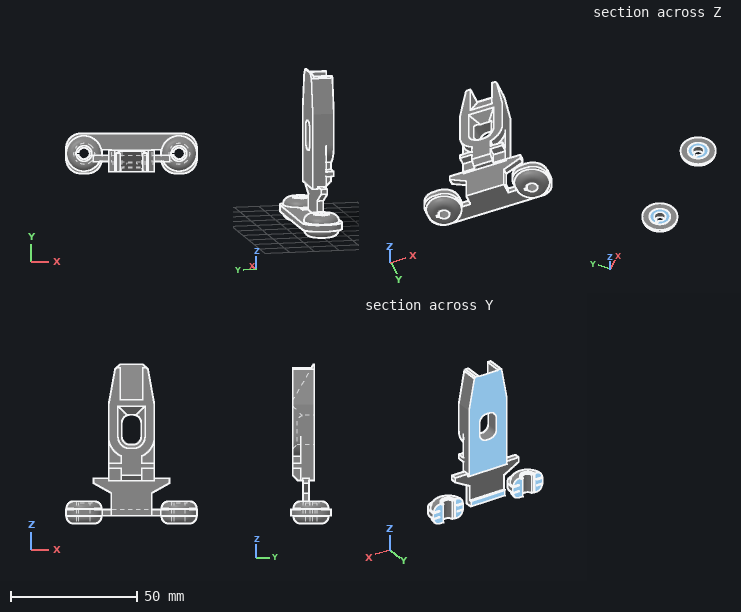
import cadquery as cq
import math

grommet_spacing = 37.65
grommet_height = 9.0
grommet_radius = 7.0
grommet_groove_width = 3.0
grommet_core_radius = 4.2
grommet_bore_radius = 2.2
grommet_recess_radius = 3.1
grommet_recess_depth = 0.65
grommet_keyway_width = 0.8

base_bottom = 3.1
base_top = 5.7
tab_width = 14.35
tab_depth = 16.0
tab_corner_radius = 6.0
bar_front = 1.45

upright_front = -3.2
upright_back = -0.7
upright_half_width = 8.1
upright_flare_bottom = 12.15
upright_arm_bottom = 16.05
upright_arm_half_width = 15.1
upright_top = 18.1

body_front = -7.25
body_back = 1.3
body_bottom = 17.1
body_top = 63.2
body_half_width = 9.1
taper_start = 47.3
shoulder_height = 61.25
shoulder_half_width = 6.6
tip_half_width = 4.55

cheek_top = 61.8
channel_bottom = 49.2
tip_lip = 0.4

flare_angle = 45
opening_half_width = 3.8
opening_bottom = 31.4
opening_top = 43.1
opening_corner_radius = 3.1
flare = 1.6
flare_top = 46.65

pocket_depth = 3.2
neck_half_width = 4.0
fin_bottom = 22.0
fin_top = 23.9
toe_chamfer = 2.0

arc_mid_factor = math.sqrt(0.5)
grommet_x = grommet_spacing / 2
corner_center_x = opening_half_width - opening_corner_radius
corner_center_z = opening_bottom + opening_corner_radius
end_x = grommet_x + tab_width / 2


def block(x_min, x_max, y_min, y_max, z_min, z_max):
    """Box between two opposite corners."""
    size = (x_max - x_min, y_max - y_min, z_max - z_min)
    return cq.Workplane("XY").box(*size, centered=False).translate((x_min, y_min, z_min))


def mirrored_outline(right_side):
    """Closed outline from its right-hand points, listed bottom to top."""
    left_side = [(-x, z) for x, z in reversed(right_side)]
    return right_side + left_side


def front_prism(outline, y_min, y_max):
    """Extrude an XZ outline between two Y positions."""
    plane = cq.Workplane("XZ", origin=(0, y_max, 0))
    return plane.polyline(outline).close().extrude(y_max - y_min)


def make_base():
    """Rounded tabs, the bar joining them and the web reaching forward to the upright."""
    thickness = base_top - base_bottom
    plane = cq.Workplane("XY").workplane(offset=base_bottom)
    tabs = (
        plane.pushPoints([(-grommet_x, 0), (grommet_x, 0)])
        .rect(tab_width, tab_depth)
        .extrude(thickness)
        .edges("|Z")
        .fillet(tab_corner_radius)
    )
    bar = (
        block(-end_x, end_x, bar_front, tab_depth / 2, base_bottom, base_top)
        .edges("|Z and >Y")
        .fillet(tab_corner_radius)
    )
    web = block(
        -upright_half_width, upright_half_width, upright_front, bar_front, base_bottom, base_top
    )
    return tabs.union(bar).union(web)


def make_grommet(x):
    """Two rounded discs on a narrower core, leaving a groove around the base."""
    bulb_height = (grommet_height - grommet_groove_width) / 2
    flat_radius = grommet_radius - bulb_height
    groove_top = grommet_height - bulb_height
    arc_mid_radius = flat_radius + bulb_height * arc_mid_factor
    arc_mid_drop = bulb_height * (1 - arc_mid_factor)
    grommet = (
        cq.Workplane("XZ")
        .lineTo(flat_radius, 0)
        .threePointArc((arc_mid_radius, arc_mid_drop), (grommet_radius, bulb_height))
        .lineTo(grommet_core_radius, bulb_height)
        .lineTo(grommet_core_radius, groove_top)
        .lineTo(grommet_radius, groove_top)
        .threePointArc((arc_mid_radius, grommet_height - arc_mid_drop), (flat_radius, grommet_height))
        .lineTo(0, grommet_height)
        .close()
        .revolve(360, (0, 0), (0, 1))
    )
    return grommet.translate((x, 0, 0))


def make_grommet_hole(x):
    """Through bore with a shallow recess at the top and a keyway on the -X side."""
    bore = cq.Workplane("XY").circle(grommet_bore_radius).extrude(grommet_height)
    recess_floor = grommet_height - grommet_recess_depth
    recess = (
        cq.Workplane("XY")
        .workplane(offset=recess_floor)
        .circle(grommet_recess_radius)
        .extrude(grommet_recess_depth)
    )
    half_key = grommet_keyway_width / 2
    keyway = block(-grommet_recess_radius, 0, -half_key, half_key, 0, grommet_height)
    return bore.union(recess).union(keyway).translate((x, 0, 0))


def make_upright():
    """Flat plate that flares out into two short arms at its top."""
    right_side = [
        (upright_half_width, base_bottom),
        (upright_half_width, upright_flare_bottom),
        (upright_arm_half_width, upright_arm_bottom),
        (upright_arm_half_width, upright_top),
    ]
    return front_prism(mirrored_outline(right_side), upright_front, upright_back)


def make_body_blank():
    """Tapered body with its front toe chamfered."""
    right_side = [
        (body_half_width, body_bottom),
        (body_half_width, taper_start),
        (shoulder_half_width, shoulder_height),
        (tip_half_width, body_top),
    ]
    blank = front_prism(mirrored_outline(right_side), body_front, body_back)
    return blank.faces("<Z").edges("<Y").chamfer(toe_chamfer)


def make_tip_channel():
    """Wedge in front of the ramp: between the cheeks below their top, full width above it."""
    ramp = (
        cq.Workplane("YZ")
        .polyline([(body_front, channel_bottom), (body_back - tip_lip, body_top), (body_front, body_top)])
        .close()
        .extrude(body_half_width, both=True)
    )
    channel = block(-tip_half_width, tip_half_width, body_front, body_back, channel_bottom, body_top)
    above_cheeks = block(-body_half_width, body_half_width, body_front, body_back, cheek_top, body_top)
    return ramp.intersect(channel.union(above_cheeks))


def make_opening():
    """Rounded through opening joined to its flare, which narrows towards the back."""
    through = (
        block(-opening_half_width, opening_half_width, body_front, body_back, opening_bottom, opening_top)
        .edges("|Y")
        .fillet(opening_corner_radius)
    )
    half_width = opening_half_width + flare
    bottom = opening_bottom - flare
    radius = opening_corner_radius + flare
    diagonal = radius * arc_mid_factor
    flare_depth = flare_top - opening_top
    flared = (
        cq.Workplane("XZ", origin=(0, body_front, 0))
        .moveTo(-corner_center_x, bottom)
        .lineTo(corner_center_x, bottom)
        .threePointArc((corner_center_x + diagonal, corner_center_z - diagonal), (half_width, corner_center_z))
        .lineTo(half_width, flare_top)
        .lineTo(-half_width, flare_top)
        .lineTo(-half_width, corner_center_z)
        .threePointArc((-corner_center_x - diagonal, corner_center_z - diagonal), (-corner_center_x, bottom))
        .close()
        .extrude(-flare_depth, taper=flare_angle)
    )
    return through.union(flared)


def make_side_pockets():
    """Pockets left and right of the neck, above and below the fin, under the rounded shoulders."""
    pocket_back = body_front + pocket_depth
    shoulder_radius = body_half_width - corner_center_x
    pockets = cq.Workplane("XY")
    for z_min, z_max in [(body_bottom, fin_bottom), (fin_top, corner_center_z)]:
        right = block(neck_half_width, body_half_width, body_front, pocket_back, z_min, z_max)
        pockets = pockets.add(right).add(right.mirror("YZ"))
    shoulders = (
        cq.Workplane("XZ", origin=(0, pocket_back, 0))
        .center(0, corner_center_z)
        .slot2D(2 * body_half_width, 2 * shoulder_radius)
        .extrude(pocket_depth)
    )
    return pockets.combine().cut(shoulders)


body = make_body_blank()
body = body.cut(make_side_pockets())
body = body.cut(make_tip_channel())
body = body.cut(make_opening())

result = make_base().union(make_upright()).union(body)
for x in (-grommet_x, grommet_x):
    result = result.union(make_grommet(x)).cut(make_grommet_hole(x))